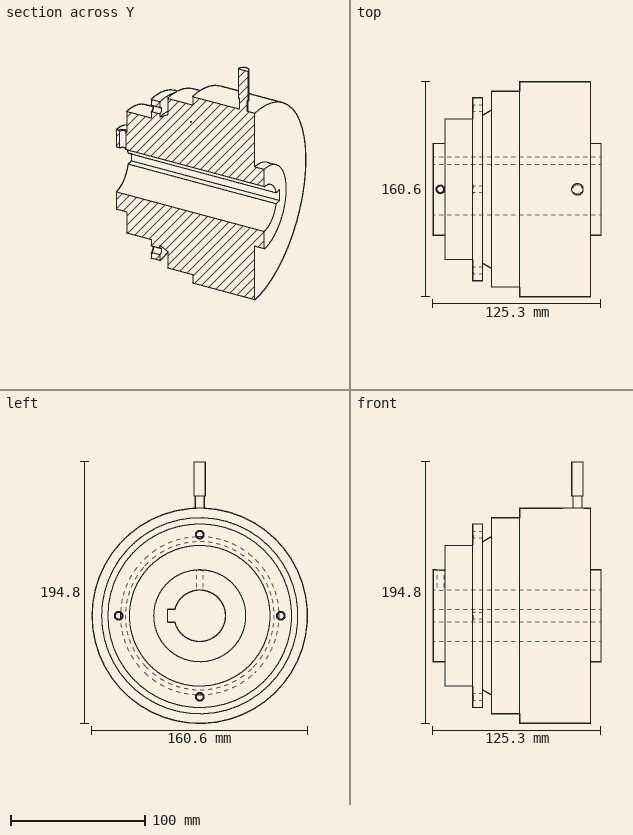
import cadquery as cq

length = 125.3
overall_height = 194.8
hub_end = 8.8
collar_end = 29.5
flange_end = 37.0
cone_end = 43.5
ring_end = 64.5
drum_end = 117.3
hub_radius = 34.3
collar_radius = 52.5
flange_radius = 68.4
cone_small_radius = 55.3
cone_large_radius = 59.0
ring_radius = 73.0
drum_radius = 80.3

bore_radius = 19.0
keyway_width = 9.4
keyway_reach = 24.0

hole_diameter = 5.0
hole_mouth_diameter = 6.5
flange_hole_circle_radius = 60.4
flange_hole_count = 4
set_screw_x = 5.5

lever_x = 107.5
lever_neck_diameter = 6.8
lever_grip_diameter = 8.5
lever_grip_bottom = 89.0
lever_top = overall_height - drum_radius


def make_body():
    """Revolve the stepped half profile about the X axis."""
    profile = (
        cq.Workplane("XY")
        .polyline([
            (0, 0),
            (0, hub_radius),
            (hub_end, hub_radius),
            (hub_end, collar_radius),
            (collar_end, collar_radius),
            (collar_end, flange_radius),
            (flange_end, flange_radius),
            (flange_end, cone_small_radius),
            (cone_end, cone_large_radius),
            (cone_end, ring_radius),
            (ring_end, ring_radius),
            (ring_end, drum_radius),
            (drum_end, drum_radius),
            (drum_end, hub_radius),
            (length, hub_radius),
            (length, 0),
        ])
        .close()
    )
    return profile.revolve(360, (0, 0, 0), (1, 0, 0))


def make_bore():
    """Through bore with its keyway."""
    bore = cq.Workplane("YZ").circle(bore_radius).extrude(length)
    keyway = cq.Workplane("XY").box(
        length, keyway_reach, keyway_width, centered=(False, False, True)
    )
    return bore.union(keyway)


def make_hole(mouth, direction, depth):
    """Round hole cutter with a 45 degree chamfer at its mouth."""
    mouth_radius = hole_mouth_diameter / 2
    hole_radius = hole_diameter / 2
    chamfer = mouth_radius - hole_radius
    drill = cq.Solid.makeCylinder(hole_radius, depth, mouth, direction)
    countersink = cq.Solid.makeCone(mouth_radius, hole_radius, chamfer, mouth, direction)
    return drill.fuse(countersink)


def make_lever():
    """Lever with a thin neck, rooted inside the drum, and a thicker grip."""
    neck_root = (drum_radius + ring_radius) / 2
    neck = (
        cq.Workplane("XY", origin=(lever_x, 0, neck_root))
        .circle(lever_neck_diameter / 2)
        .extrude(lever_grip_bottom - neck_root)
    )
    grip = (
        cq.Workplane("XY", origin=(lever_x, 0, lever_grip_bottom))
        .circle(lever_grip_diameter / 2)
        .extrude(lever_top - lever_grip_bottom)
    )
    return neck.union(grip)


result = make_body().cut(make_bore())

flange_hole = make_hole(
    cq.Vector(collar_end, 0, flange_hole_circle_radius),
    cq.Vector(1, 0, 0),
    flange_end - collar_end,
)
for index in range(flange_hole_count):
    angle = index * 360 / flange_hole_count
    result = result.cut(cq.Workplane(flange_hole.rotate((0, 0, 0), (1, 0, 0), angle)))

set_screw_hole = make_hole(
    cq.Vector(set_screw_x, 0, hub_radius), cq.Vector(0, 0, -1), hub_radius
)
result = result.cut(cq.Workplane(set_screw_hole))

result = result.union(make_lever())